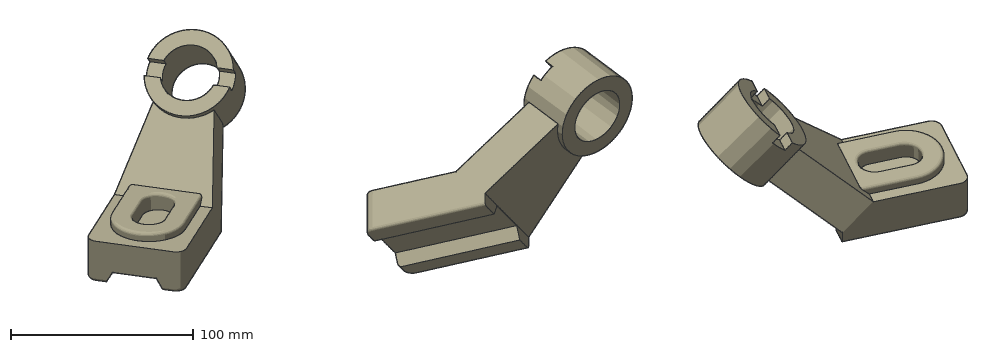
import cadquery as cq
import math

BASE_WIDTH = 56.0
BASE_HEIGHT = 25.0
BEND_Y = 56.0
CORNER_RADIUS = 6.0
BOTTOM_EDGE_RADIUS = 2.0

CHANNEL_DEPTH = 7.0
CHANNEL_TOP_WIDTH = 25.0
CHANNEL_BOTTOM_WIDTH = 33.0

PAD_WIDTH = 42.0
PAD_HEIGHT = 5.0
PAD_ROUND_Y = 28.0
SLOT_WIDTH = 18.0
SLOT_REAR_Y = 46.0
SLOT_DEPTH = 10.0
PAD_EDGE_RADIUS = 2.0

ARM_ANGLE = 45.0
ARM_THICKNESS = BASE_HEIGHT
ARM_LENGTH = 73.54
ARM_END_WIDTH = 28.0

BARREL_DIAMETER = 50.0
BORE_DIAMETER = 32.0
BARREL_RISE = 4.0
BARREL_DROP = 4.0
KEYWAY_WIDTH = 10.0
KEYWAY_DEPTH = 6.0

slope = math.radians(ARM_ANGLE)
rear_y = BEND_Y + ARM_THICKNESS * math.sin(slope)
rear_z = BASE_HEIGHT - ARM_THICKNESS * math.cos(slope)

arm_plane = cq.Plane(
    origin=(0, BEND_Y, BASE_HEIGHT),
    xDir=(1, 0, 0),
    normal=(0, -math.sin(slope), math.cos(slope)),
)


def make_base():
    """Block with a mitred rear end, rounded front corners and a channelled underside."""
    profile = [(0, 0), (rear_y, 0), (rear_y, rear_z), (BEND_Y, BASE_HEIGHT), (0, BASE_HEIGHT)]
    block = cq.Workplane("YZ").polyline(profile).close().extrude(BASE_WIDTH / 2, both=True)
    block = block.edges("|Z and <Y").fillet(CORNER_RADIUS)
    block = block.faces("<Z").edges("not >Y").fillet(BOTTOM_EDGE_RADIUS)
    half_top = CHANNEL_TOP_WIDTH / 2
    half_bottom = CHANNEL_BOTTOM_WIDTH / 2
    channel_profile = [
        (-half_bottom, 0),
        (half_bottom, 0),
        (half_top, CHANNEL_DEPTH),
        (-half_top, CHANNEL_DEPTH),
    ]
    channel = cq.Workplane("XZ").polyline(channel_profile).close().extrude(-rear_y)
    return block.cut(channel)


def make_arm():
    """Tapered slab from the bend to the barrel axis."""
    outline = [
        (-BASE_WIDTH / 2, 0),
        (BASE_WIDTH / 2, 0),
        (ARM_END_WIDTH / 2, ARM_LENGTH),
        (-ARM_END_WIDTH / 2, ARM_LENGTH),
    ]
    return cq.Workplane(arm_plane).polyline(outline).close().extrude(-ARM_THICKNESS)


def make_slot():
    """Oblong cutter reaching down from the top of the pad."""
    spacing = SLOT_REAR_Y - PAD_ROUND_Y
    centre_y = (SLOT_REAR_Y + PAD_ROUND_Y) / 2
    pad_top_z = BASE_HEIGHT + PAD_HEIGHT
    return (
        cq.Workplane("XY", origin=(0, centre_y, pad_top_z))
        .slot2D(spacing + SLOT_WIDTH, SLOT_WIDTH, 90)
        .extrude(-SLOT_DEPTH)
    )


def make_pad():
    """Slotted, round-fronted pad whose square rear end stops on the arm's top face."""
    half_width = PAD_WIDTH / 2
    pad_rear_y = BEND_Y + PAD_HEIGHT / math.tan(slope)
    pad = (
        cq.Workplane("XY", origin=(0, 0, BASE_HEIGHT))
        .moveTo(-half_width, pad_rear_y)
        .lineTo(-half_width, PAD_ROUND_Y)
        .threePointArc((0, PAD_ROUND_Y - half_width), (half_width, PAD_ROUND_Y))
        .lineTo(half_width, pad_rear_y)
        .close()
        .extrude(PAD_HEIGHT)
    )
    pad = pad.cut(make_slot())
    return pad.faces(">Z").edges("not >Y").fillet(PAD_EDGE_RADIUS)


def barrel_section(diameter):
    """Cylinder over the full length of the barrel."""
    length = BARREL_RISE + ARM_THICKNESS + BARREL_DROP
    return (
        cq.Workplane(arm_plane)
        .workplane(offset=BARREL_RISE)
        .center(0, ARM_LENGTH)
        .circle(diameter / 2)
        .extrude(-length)
    )


def make_keyway():
    """Slot across the top face of the barrel."""
    return (
        cq.Workplane(arm_plane)
        .workplane(offset=BARREL_RISE)
        .center(0, ARM_LENGTH)
        .rect(BARREL_DIAMETER, KEYWAY_WIDTH)
        .extrude(-KEYWAY_DEPTH)
    )


body = make_base().union(make_arm()).cut(make_slot()).union(make_pad())
body = body.union(barrel_section(BARREL_DIAMETER))
result = body.cut(barrel_section(BORE_DIAMETER)).cut(make_keyway())